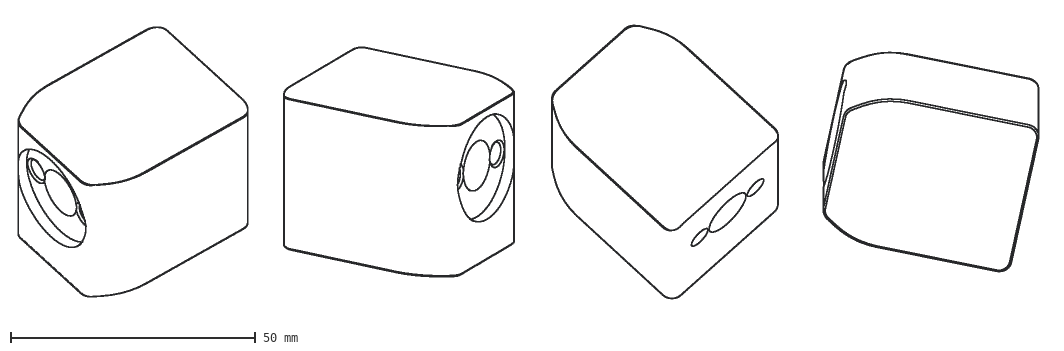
import cadquery as cq
import math

WIDTH = 32.0
LENGTH = 40.0
HEIGHT = 35.0

BODY_CORNER_X = 11.35
BODY_TAPER_ANGLE = 33.0
BODY_SIDE_RADIUS = 17.5
BODY_CORNER_RADIUS = 2.6
BOTTOM_CHAMFER = 0.4

CAP_HEIGHT = 2.0
CAP_RIM = 0.15
CAP_CORNER_X = 11.58
CAP_TAPER_ANGLE = 30.0
CAP_SIDE_RADIUS = 15.0
CAP_CORNER_RADIUS = 3.55
CAP_REAR_OVERHANG = 0.85
CAP_CHAMFER = CAP_HEIGHT - CAP_RIM
CAP_FILLET = 4.0
CAP_BLANK_DEPTH = 10.0

BORE_HEIGHT = 20.2
RECESS_DIAMETER = 22.4
RECESS_DEPTH = 2.5
BORE_DIAMETER = 10.52
SCREW_HOLE_DIAMETER = 4.7
SCREW_HOLE_OFFSET = 8.0
SCREW_HOLE_CHAMFER = 0.5

SELECTION_MARGIN = 0.01


def tapered_block(half_width, length, height, corner_x, taper_angle, side_radius, corner_radius):
    """Block with parallel sides that taper inwards towards its front face at Y = 0."""
    taper_y = (half_width - corner_x) / math.tan(math.radians(taper_angle))
    right_side = [(corner_x, 0), (half_width, taper_y), (half_width, length)]
    left_side = [(-x, y) for x, y in reversed(right_side)]
    block = cq.Workplane("XY").polyline(right_side + left_side).close().extrude(height)

    block = block.edges("|Z and (<Y or >Y)").fillet(corner_radius)
    side_bends = cq.selectors.BoxSelector(
        (-WIDTH, taper_y - SELECTION_MARGIN, 0),
        (WIDTH, taper_y + SELECTION_MARGIN, height),
    )
    return block.edges("|Z").edges(side_bends).fillet(side_radius)


def make_body():
    """Full-height body with a small chamfer around the bottom."""
    body = tapered_block(
        WIDTH / 2, LENGTH, HEIGHT,
        BODY_CORNER_X, BODY_TAPER_ANGLE, BODY_SIDE_RADIUS, BODY_CORNER_RADIUS,
    )
    return body.faces("<Z").chamfer(BOTTOM_CHAMFER)


def make_cap():
    """Block whose upper edge is chamfered, then blended into the top face."""
    cap = tapered_block(
        WIDTH / 2 - CAP_RIM, LENGTH - CAP_RIM + CAP_REAR_OVERHANG, CAP_BLANK_DEPTH,
        CAP_CORNER_X, CAP_TAPER_ANGLE, CAP_SIDE_RADIUS, CAP_CORNER_RADIUS,
    )
    cap = cap.faces(">Z").chamfer(CAP_CHAMFER)
    cap = cap.faces(">Z").edges().fillet(CAP_FILLET)
    return cap.translate((0, CAP_RIM, HEIGHT - CAP_BLANK_DEPTH))


def shape_top(body):
    """Give the top of the body the form of the cap; below it the body stays full."""
    lower_height = HEIGHT - CAP_HEIGHT
    lower_space = cq.Workplane("XY").box(
        2 * WIDTH, 4 * LENGTH, lower_height, centered=(True, True, False)
    )
    return body.intersect(lower_space.union(make_cap()))


def front_bore(x, diameter, depth):
    """Cylinder running from the front face into the part."""
    start = cq.Vector(x, 0, BORE_HEIGHT)
    return cq.Workplane(cq.Solid.makeCylinder(diameter / 2, depth, start, cq.Vector(0, 1, 0)))


def screw_hole(x):
    """Through hole with a chamfered mouth at the floor of the recess."""
    mouth = cq.Solid.makeCone(
        SCREW_HOLE_DIAMETER / 2 + SCREW_HOLE_CHAMFER,
        SCREW_HOLE_DIAMETER / 2,
        SCREW_HOLE_CHAMFER,
        cq.Vector(x, RECESS_DEPTH, BORE_HEIGHT),
        cq.Vector(0, 1, 0),
    )
    return front_bore(x, SCREW_HOLE_DIAMETER, LENGTH).union(cq.Workplane(mouth))


result = shape_top(make_body())
result = result.cut(front_bore(0, RECESS_DIAMETER, RECESS_DEPTH))
result = result.cut(front_bore(0, BORE_DIAMETER, LENGTH))
for hole_x in (-SCREW_HOLE_OFFSET, SCREW_HOLE_OFFSET):
    result = result.cut(screw_hole(hole_x))